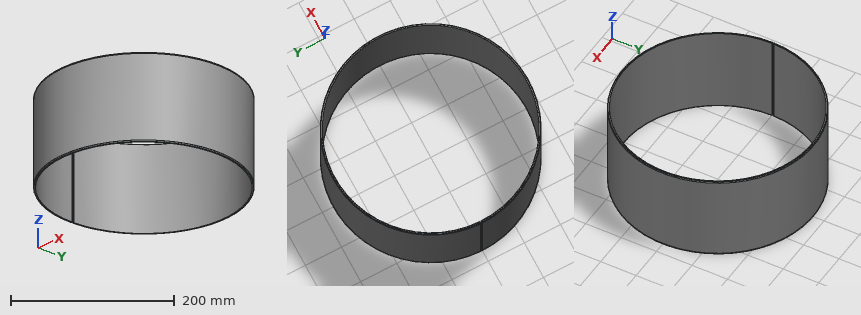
import cadquery as cq

outer_radius = 135.0
height = 120.0
wall_thickness = 2.48
inner_radius = outer_radius - wall_thickness

bevel_height = 1.5
bevel_inset = 0.68

slit_angle = 1.0
sweep_angle = 360.0 - slit_angle

wall_section = (
    cq.Workplane("XZ")
    .moveTo(-inner_radius, 0)
    .lineTo(-outer_radius + bevel_inset, 0)
    .lineTo(-outer_radius, bevel_height)
    .lineTo(-outer_radius, height - bevel_height)
    .lineTo(-outer_radius + bevel_inset, height)
    .lineTo(-inner_radius, height)
    .close()
)

result = wall_section.revolve(sweep_angle, (0, 0, 0), (0, 1, 0))